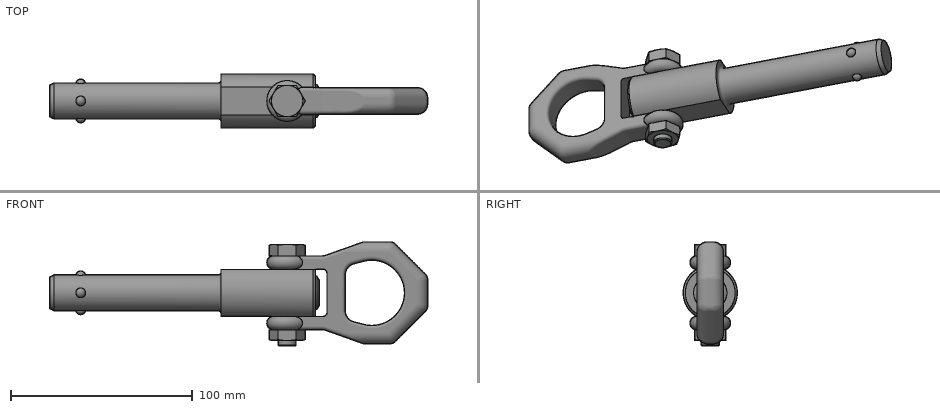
import cadquery as cq
import math


PIN_RADIUS = 10.0
NOSE_LENGTH = 2.5
NOSE_RADIUS = 8.8
BALL_X = 17.1
BALL_RADIUS = 2.7
BALL_OFFSET = 9.4
SLEEVE_START = 94.5
SLEEVE_END = 146.7
SLEEVE_RADIUS = 15.0
SLEEVE_CHAMFER = 1.3
SLEEVE_FLAT_Z = 13.0
NECK_FILLET = 1.5
BUTTON_RADIUS = 9.2
BUTTON_STEP = 0.8
BUTTON_FACE_RADIUS = 7.0
BUTTON_END = SLEEVE_END + 2.0

BOLT_X = 131.0
BOLT_RADIUS = 5.0
BOLT_END_Z = -29.5
BOLT_END_CHAMFER = 0.6
HEX_FLATS = 17.3
HEX_CORNERS = 6
HEX_CHAMFER_ANGLE = 20
HEAD_HEIGHT = 6.3
NUT_HEIGHT = 5.8

SHACKLE_THICKNESS = 14.8
ARM_INNER_Z = SLEEVE_FLAT_Z
ARM_THICKNESS = 7.5
ARM_OUTER_Z = ARM_INNER_Z + ARM_THICKNESS
EYE_RADIUS = 11.3
SLOPE_START_X = 151.5
SLOPE_END_X = 173.2
SLOPE_FILLET = 5.0
ARM_EDGE_FILLET = 1.98
LOOP_END_X = 208.7
LOOP_HALF_HEIGHT = 28.2
LOOP_BEVEL = 19.2
LOOP_CORNER_FILLET = 4.2
LOOP_EDGE_FILLET = 5.8
WINDOW_END_X = 153.0
WINDOW_FILLET = 2.0
GRIP_X = 177.8
GRIP_RADIUS = 18.0
GRIP_LEFT_X = 163.2
GRIP_SLOPE = 14.5
GRIP_CORNER_FILLET = 6.3
GRIP_EDGE_FILLET = 1.98


def make_cylinder_z(radius, bottom, top):
    """Cylinder on the bolt axis between two heights."""
    return cq.Workplane("XY", origin=(BOLT_X, 0, bottom)).circle(radius).extrude(top - bottom)


def make_pin():
    """Nosed shaft, flatted sleeve and end button, with four fixed locking balls."""
    profile = (
        cq.Workplane("XY")
        .moveTo(0, 0)
        .lineTo(0, NOSE_RADIUS)
        .lineTo(NOSE_LENGTH, PIN_RADIUS)
        .lineTo(SLEEVE_START - NECK_FILLET, PIN_RADIUS)
        .radiusArc((SLEEVE_START, PIN_RADIUS + NECK_FILLET), -NECK_FILLET)
        .lineTo(SLEEVE_START, SLEEVE_RADIUS)
        .lineTo(SLEEVE_END - SLEEVE_CHAMFER, SLEEVE_RADIUS)
        .lineTo(SLEEVE_END, SLEEVE_RADIUS - SLEEVE_CHAMFER)
        .lineTo(SLEEVE_END, BUTTON_RADIUS)
        .lineTo(SLEEVE_END + BUTTON_STEP, BUTTON_RADIUS)
        .lineTo(BUTTON_END, BUTTON_FACE_RADIUS)
        .lineTo(BUTTON_END, 0)
        .close()
    )
    pin = profile.revolve(360, (0, 0, 0), (1, 0, 0))
    flats = cq.Workplane("XY").box(2 * BUTTON_END, 2 * SLEEVE_RADIUS, 2 * SLEEVE_FLAT_Z)
    pin = pin.intersect(flats)
    for y, z in ((1, 0), (-1, 0), (0, 1), (0, -1)):
        center = (BALL_X, y * BALL_OFFSET, z * BALL_OFFSET)
        pin = pin.union(cq.Workplane("XY", origin=center).sphere(BALL_RADIUS))
    return pin.cut(make_cylinder_z(BOLT_RADIUS, -SLEEVE_RADIUS, SLEEVE_RADIUS))


def make_hex(base_z, height, direction):
    """Hexagon standing on base_z, with its corners turned off at the far end."""
    corner_radius = HEX_FLATS / 2 / math.cos(math.pi / HEX_CORNERS)
    chamfer = corner_radius - HEX_FLATS / 2
    chamfer_height = chamfer * math.tan(math.radians(HEX_CHAMFER_ANGLE))
    hexagon = (
        cq.Workplane("XY", origin=(BOLT_X, 0, base_z))
        .polygon(HEX_CORNERS, 2 * corner_radius)
        .extrude(direction * height)
    )
    turned = (
        cq.Workplane("XZ", origin=(BOLT_X, 0, base_z))
        .moveTo(0, 0)
        .lineTo(corner_radius, 0)
        .lineTo(corner_radius, direction * (height - chamfer_height))
        .lineTo(HEX_FLATS / 2, direction * height)
        .lineTo(0, direction * height)
        .close()
        .revolve(360, (0, 0, 0), (0, 1, 0))
    )
    return hexagon.intersect(turned)


def make_bolt():
    """Hex head on the upper eye and a shank through to below the nut."""
    shank = make_cylinder_z(BOLT_RADIUS, BOLT_END_Z, ARM_OUTER_Z)
    shank = shank.faces("<Z").chamfer(BOLT_END_CHAMFER)
    return shank.union(make_hex(ARM_OUTER_Z, HEAD_HEIGHT, 1))


def make_nut():
    """Hex nut under the lower eye."""
    bore = make_cylinder_z(BOLT_RADIUS, BOLT_END_Z, -ARM_OUTER_Z)
    return make_hex(-ARM_OUTER_Z, NUT_HEIGHT, -1).cut(bore)


def extrude_outline(outline):
    """Extrude an XZ outline symmetrically to the shackle thickness."""
    return outline.close().extrude(SHACKLE_THICKNESS / 2, both=True)


def box_around(x, z, reach):
    """Selector for what is centred near one XZ position, at any Y."""
    return cq.selectors.BoxSelector(
        (x - reach, -SHACKLE_THICKNESS, z - reach),
        (x + reach, SHACKLE_THICKNESS, z + reach),
    )


def make_loop_blank():
    """Plate with a bevelled end and heavily rounded outer edges."""
    bevel_x = LOOP_END_X - LOOP_BEVEL
    bevel_z = LOOP_HALF_HEIGHT - LOOP_BEVEL
    blank = extrude_outline(
        cq.Workplane("XZ")
        .moveTo(BOLT_X, -LOOP_HALF_HEIGHT)
        .lineTo(bevel_x, -LOOP_HALF_HEIGHT)
        .lineTo(LOOP_END_X, -bevel_z)
        .lineTo(LOOP_END_X, bevel_z)
        .lineTo(bevel_x, LOOP_HALF_HEIGHT)
        .lineTo(BOLT_X, LOOP_HALF_HEIGHT)
    )
    blank = blank.faces("<Y or >Y").edges("not <X").fillet(LOOP_EDGE_FILLET)
    for x, z in ((bevel_x, LOOP_HALF_HEIGHT), (LOOP_END_X, bevel_z)):
        for side in (1, -1):
            corner = box_around(x, side * z, LOOP_EDGE_FILLET / 2)
            blank = blank.edges(corner).fillet(LOOP_CORNER_FILLET)
    return blank


def make_shoulder_cut(side):
    """Waste outside one arm and the slope that joins it to the loop."""
    clear_z = side * 2 * LOOP_HALF_HEIGHT
    slope = (LOOP_HALF_HEIGHT - ARM_OUTER_Z) / (SLOPE_END_X - SLOPE_START_X)
    clear_x = SLOPE_START_X + (2 * LOOP_HALF_HEIGHT - ARM_OUTER_Z) / slope
    waste = extrude_outline(
        cq.Workplane("XZ")
        .moveTo(BOLT_X, side * ARM_OUTER_Z)
        .lineTo(SLOPE_START_X, side * ARM_OUTER_Z)
        .lineTo(clear_x, clear_z)
        .lineTo(BOLT_X, clear_z)
    )
    corner = cq.selectors.NearestToPointSelector((SLOPE_START_X, 0, side * ARM_OUTER_Z))
    return waste.edges("|Y").edges(corner).fillet(SLOPE_FILLET)


def make_grip_hole():
    """Round grip opening that narrows along two tangent lines to a straight inner side."""
    angle = math.radians(GRIP_SLOPE)
    tangent_x = GRIP_X - GRIP_RADIUS * math.sin(angle)
    tangent_z = GRIP_RADIUS * math.cos(angle)
    corner_z = tangent_z - (tangent_x - GRIP_LEFT_X) * math.tan(angle)
    hole = extrude_outline(
        cq.Workplane("XZ")
        .moveTo(GRIP_LEFT_X, -corner_z)
        .lineTo(tangent_x, -tangent_z)
        .threePointArc((GRIP_X + GRIP_RADIUS, 0), (tangent_x, tangent_z))
        .lineTo(GRIP_LEFT_X, corner_z)
    )
    return hole.edges("|Y and <X").fillet(GRIP_CORNER_FILLET)


def make_eye(side):
    """Fully rounded ring at the end of one arm."""
    bottom = min(side * ARM_INNER_Z, side * ARM_OUTER_Z)
    rim = ARM_THICKNESS / 2
    return (
        cq.Workplane("XZ", origin=(BOLT_X, 0, bottom))
        .moveTo(0, 0)
        .lineTo(EYE_RADIUS - rim, 0)
        .threePointArc((EYE_RADIUS, rim), (EYE_RADIUS - rim, ARM_THICKNESS))
        .lineTo(0, ARM_THICKNESS)
        .close()
        .revolve(360, (0, 0, 0), (0, 1, 0))
    )


def round_slope_edges(shackle, side):
    """Round the edges of one sloping shoulder and of the arm face running into it."""
    slope_middle = (
        (SLOPE_START_X + SLOPE_END_X) / 2,
        0,
        side * (ARM_OUTER_Z + LOOP_HALF_HEIGHT) / 2,
    )
    slope_face = shackle.faces(cq.selectors.NearestToPointSelector(slope_middle))
    return slope_face.edges("not |Y").fillet(ARM_EDGE_FILLET)


def cut_window(shackle):
    """Opening between the arms for the end of the sleeve."""
    length = WINDOW_END_X - BOLT_X
    window = cq.Workplane("XY", origin=(BOLT_X + length / 2, 0, 0)).box(
        length, SHACKLE_THICKNESS, 2 * ARM_INNER_Z
    )
    return shackle.cut(window.edges("|Y and >X").fillet(WINDOW_FILLET))


def cut_grip_hole(shackle):
    """Grip opening with both rims rounded."""
    shackle = shackle.cut(make_grip_hole())
    grip_middle_x = (GRIP_LEFT_X + GRIP_X + GRIP_RADIUS) / 2
    grip_rims = box_around(grip_middle_x, 0, GRIP_RADIUS)
    return shackle.faces("<Y or >Y").edges(grip_rims).fillet(GRIP_EDGE_FILLET)


def make_shackle():
    """Two arms with eyes, carrying the grip loop."""
    shackle = make_loop_blank()
    for side in (1, -1):
        shackle = shackle.cut(make_shoulder_cut(side))
        shackle = round_slope_edges(shackle, side)
    shackle = cut_window(shackle)
    shackle = cut_grip_hole(shackle)
    for side in (1, -1):
        shackle = shackle.union(make_eye(side))
    return shackle.cut(make_cylinder_z(BOLT_RADIUS, -ARM_OUTER_Z, ARM_OUTER_Z))


pin = make_pin()
shackle = make_shackle()
bolt = make_bolt()
nut = make_nut()
result = cq.Compound.makeCompound([pin.val(), shackle.val(), bolt.val(), nut.val()])